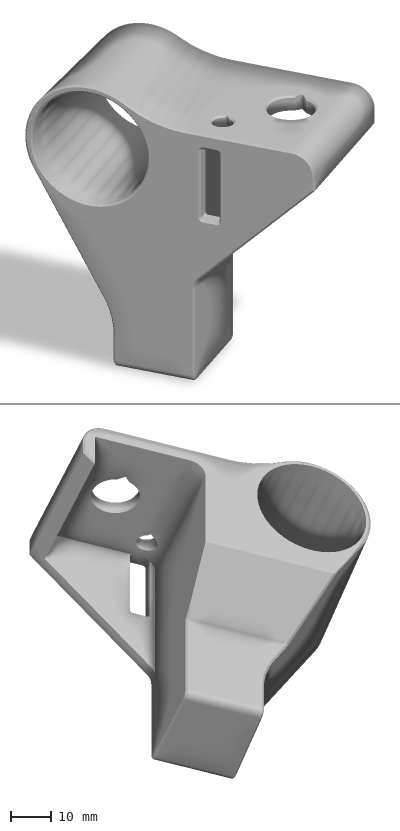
import cadquery as cq
import math

depth = 40.0
front_radius = 17.4
back_radius = 15.65
bore_front_radius = 15.4
bore_back_radius = 14.3
edge_chamfer = 0.5

arm_top = 10.0
arm_end = 60.05
arm_corner_radius = 6.0
arm_tip_bottom = 0.0
tube_blend_radius = 30.0

front_wall = 3.4
top_wall = 4.0
end_wall = 3.0
cavity_corner_radius = 4.0

stem_left_front = 6.2
stem_right = 28.0
stem_bottom = -60.0
stem_depth = 25.95
stem_bottom_radius = 2.0
back_corner_radius = 0.5
stem_left_blend_radius = 20.0
stem_right_blend_radius = 4.0
flank_normal = math.radians(-150)
back_slope_top = -20.45
slope_bottom = back_slope_top - (depth - stem_depth)

large_hole = (45.0, 21.6, 6.05)
small_hole = (32.1, 8.5, 2.6)
notch_reach = 1.23

slot_width = 5.1
slot_height = 20.0
slot_center_x = small_hole[0]
slot_center_z = -4.0
slot_corner_radius = 0.8

tolerance = 0.01


def polar(radius, angle):
    """X and Z of a point at this radius and angle from the tube axis."""
    return (radius * math.cos(angle), radius * math.sin(angle))


def shifted(center, radius, angle):
    """Point at this radius and angle from a center."""
    dx, dz = polar(radius, angle)
    return (center[0] + dx, center[1] + dz)


def outline(y, tube_radius):
    """Closed front outline at depth y, for the tube outside radius found there."""
    blend_z = arm_top + tube_blend_radius
    blend_distance = tube_radius + tube_blend_radius
    blend_center = (math.sqrt(blend_distance**2 - blend_z**2), blend_z)
    blend_angle = math.atan2(blend_z, blend_center[0])
    blend_start = polar(tube_radius, blend_angle)
    blend_mid_angle = (blend_angle + math.pi + math.radians(270)) / 2
    blend_mid = shifted(blend_center, tube_blend_radius, blend_mid_angle)

    flank_start = polar(tube_radius, flank_normal)
    tube_mid = polar(tube_radius, (flank_normal + 2 * math.pi + blend_angle) / 2)
    stem_left = stem_left_front + front_radius - tube_radius
    corner_z = (tube_radius - stem_left * math.cos(flank_normal)) / math.sin(flank_normal)

    turn = flank_normal + math.pi
    left_run = stem_left_blend_radius * math.tan(turn / 2)
    left_center = (stem_left - stem_left_blend_radius, corner_z - left_run)
    left_start = shifted(left_center, stem_left_blend_radius, turn)
    left_mid = shifted(left_center, stem_left_blend_radius, turn / 2)

    right_corner = arm_tip_bottom - (arm_end - stem_right)
    right_run = stem_right_blend_radius * math.tan(math.pi / 8)
    right_center = (stem_right + stem_right_blend_radius, right_corner - right_run)
    right_mid = shifted(right_center, stem_right_blend_radius, math.radians(157.5))
    right_end = shifted(right_center, stem_right_blend_radius, math.radians(135))

    arm_center = (arm_end - arm_corner_radius, arm_top - arm_corner_radius)
    arm_mid = shifted(arm_center, arm_corner_radius, math.radians(45))

    return (
        cq.Workplane("XZ", origin=(0, y, 0))
        .moveTo(*flank_start)
        .threePointArc(tube_mid, blend_start)
        .threePointArc(blend_mid, (blend_center[0], arm_top))
        .lineTo(arm_center[0], arm_top)
        .threePointArc(arm_mid, (arm_end, arm_center[1]))
        .lineTo(arm_end, arm_tip_bottom)
        .lineTo(*right_end)
        .threePointArc(right_mid, (stem_right, right_center[1]))
        .lineTo(stem_right, stem_bottom)
        .lineTo(stem_left, stem_bottom)
        .lineTo(stem_left, left_center[1])
        .threePointArc(left_mid, left_start)
        .close()
        .wire()
        .val()
    )


def tapered_body():
    """Solid between the front and back outlines."""
    wires = [outline(0, front_radius), outline(depth, back_radius)]
    return cq.Workplane(cq.Solid.makeLoft(wires, True))


def back_relief():
    """Material behind the stem, under a 45 degree slope."""
    return (
        cq.Workplane("YZ", origin=(-front_radius, 0, 0))
        .moveTo(depth, back_slope_top)
        .lineTo(stem_depth, slope_bottom)
        .lineTo(stem_depth, stem_bottom)
        .lineTo(depth, stem_bottom)
        .close()
        .extrude(arm_end + front_radius)
    )


def is_rim(edge):
    """True for the edges between the side walls and the front, back, slope and bottom faces."""
    center = edge.Center()
    box = edge.BoundingBox()
    runs_along_x = box.ylen < tolerance and box.zlen < tolerance
    if runs_along_x and center.z < back_slope_top + tolerance:
        return False
    on_front = center.y < tolerance
    on_back = center.y > stem_depth - tolerance
    on_bottom = center.z < stem_bottom + stem_bottom_radius
    return on_front or on_back or on_bottom


def is_slope_foot(edge):
    """True for the concave edge where the back slope meets the stem."""
    center = edge.Center()
    return abs(center.y - stem_depth) < tolerance and abs(center.z - slope_bottom) < tolerance


def cone(start_radius, end_radius, length, origin, direction):
    """Truncated cone growing from its origin along a direction."""
    solid = cq.Solid.makeCone(start_radius, end_radius, length, cq.Vector(origin), cq.Vector(direction))
    return cq.Workplane(solid)


def bore():
    """Tapered bore of the tube with a chamfered front mouth."""
    taper = cone(bore_front_radius, bore_back_radius, depth, (0, 0, 0), (0, 1, 0))
    mouth_radius = bore_front_radius + edge_chamfer
    mouth = cone(mouth_radius, bore_front_radius, edge_chamfer, (0, 0, 0), (0, 1, 0))
    return taper.union(mouth)


def vertical_hole(x, y, radius):
    """Through hole with a 90 degree notch toward the back and a chamfered top mouth."""
    length = arm_top - slope_bottom
    tip = notch_reach * radius
    half_width = tip / 2
    top = cq.Workplane("XY", origin=(x, y, arm_top))
    drill = top.circle(radius).extrude(-length)
    notch_points = [(0, tip), (-half_width, tip - half_width), (0, 0), (half_width, tip - half_width)]
    notch = top.polyline(notch_points).close().extrude(-length)
    mouth = cone(radius + edge_chamfer, radius, edge_chamfer, (x, y, arm_top), (0, 0, -1))
    return drill.union(notch).union(mouth)


def slot():
    """Rounded rectangular slot through the front wall with a chamfered mouth."""
    front = cq.Workplane("XZ", origin=(slot_center_x, 0, slot_center_z))
    opening = front.rect(slot_width, slot_height).extrude(-front_wall).edges("|Y").fillet(slot_corner_radius)
    mouth_face = (
        cq.Sketch()
        .rect(slot_width + 2 * edge_chamfer, slot_height + 2 * edge_chamfer)
        .vertices()
        .fillet(slot_corner_radius + edge_chamfer)
    )
    mouth = front.placeSketch(mouth_face).extrude(-edge_chamfer, taper=45)
    return opening.union(mouth)


def cavity():
    """Space between the stem, the front wall, the arm top and the arm end wall."""
    ceiling = arm_top - top_wall
    width = arm_end - end_wall - stem_right
    height = ceiling - stem_bottom
    corner = (stem_right, front_wall, stem_bottom)
    block = cq.Workplane("XY", origin=corner).box(width, depth, height, centered=False)
    return block.edges("|Y and >Z and <X").fillet(cavity_corner_radius)


body = tapered_body().cut(back_relief())
body = body.edges("|X").edges("<Z").fillet(stem_bottom_radius)
body = body.edges("|X").filter(is_slope_foot).fillet(back_corner_radius)
body = body.edges().filter(is_rim).chamfer(edge_chamfer)

body = body.cut(bore())
body = body.cut(cavity())
body = body.cut(vertical_hole(*large_hole))
body = body.cut(vertical_hole(*small_hole))
body = body.cut(slot())

result = body